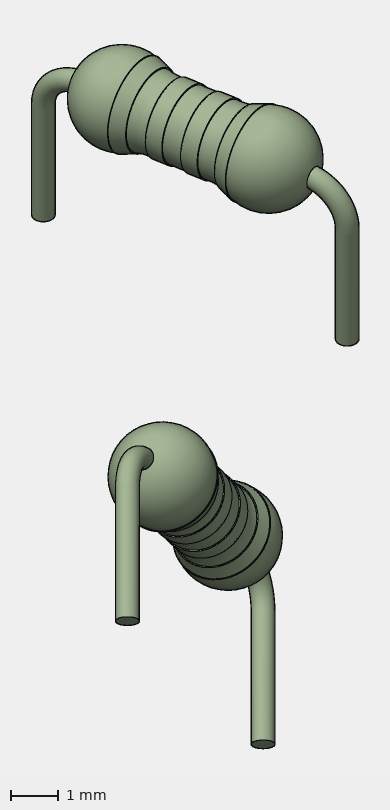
import cadquery as cq
import math

OVERALL_LENGTH = 8.12
OVERALL_HEIGHT = 5.14

BODY_LENGTH = 5.98
END_RADIUS = 2.3 / 2
BARREL_RADIUS = 0.9
FILLET_RADIUS = 1.235

GROOVE_RADIUS = 0.78
INNER_BAND_RADIUS = 1.86 / 2
INNER_BAND_START = 0.235
INNER_BAND_WIDTH = 0.415
OUTER_BAND_START = 1.11
OUTER_BAND_WIDTH = 0.365
OUTER_BAND_SMALL_RADIUS = 0.975
OUTER_BAND_LARGE_RADIUS = 1.11

WIRE_RADIUS = 0.25
BEND_RADIUS = 0.99

end_center_x = BODY_LENGTH / 2 - END_RADIUS
lead_x = OVERALL_LENGTH / 2 - WIRE_RADIUS
lead_bottom_z = END_RADIUS - OVERALL_HEIGHT


def make_solid_body():
    """Revolved dumbbell before the bore and the band grooves are cut."""
    fillet_center_z = BARREL_RADIUS + FILLET_RADIUS
    center_distance = END_RADIUS + FILLET_RADIUS
    fillet_center_x = end_center_x - math.sqrt(center_distance**2 - fillet_center_z**2)
    slope_angle = math.atan2(fillet_center_z, end_center_x - fillet_center_x)

    tangent_x = end_center_x - END_RADIUS * math.cos(slope_angle)
    tangent_z = END_RADIUS * math.sin(slope_angle)
    fillet_mid_angle = (slope_angle + math.pi / 2) / 2
    fillet_mid_x = fillet_center_x + FILLET_RADIUS * math.cos(fillet_mid_angle)
    fillet_mid_z = fillet_center_z - FILLET_RADIUS * math.sin(fillet_mid_angle)
    tip_x = BODY_LENGTH / 2

    profile = (
        cq.Workplane("XZ")
        .moveTo(-tip_x, 0)
        .threePointArc((-end_center_x, END_RADIUS), (-tangent_x, tangent_z))
        .threePointArc((-fillet_mid_x, fillet_mid_z), (-fillet_center_x, BARREL_RADIUS))
        .lineTo(fillet_center_x, BARREL_RADIUS)
        .threePointArc((fillet_mid_x, fillet_mid_z), (tangent_x, tangent_z))
        .threePointArc((end_center_x, END_RADIUS), (tip_x, 0))
        .close()
    )
    return profile.revolve(360, (0, 0, 0), (1, 0, 0))


def make_band(side, start, width, start_radius, end_radius):
    """Ring on one side (-1 or +1) of the middle, tapering from start_radius to end_radius."""
    near_x = side * start
    far_x = side * (start + width)
    profile = cq.Workplane("XZ").polyline(
        [
            (near_x, GROOVE_RADIUS),
            (near_x, start_radius),
            (far_x, end_radius),
            (far_x, GROOVE_RADIUS),
        ]
    )
    return profile.close().revolve(360, (0, 0, 0), (1, 0, 0))


def make_inner_band(side):
    """Cylindrical band on the barrel."""
    return make_band(side, INNER_BAND_START, INNER_BAND_WIDTH, INNER_BAND_RADIUS, INNER_BAND_RADIUS)


def make_outer_band(side):
    """Conical band on the flare between barrel and end sphere."""
    return make_band(
        side, OUTER_BAND_START, OUTER_BAND_WIDTH, OUTER_BAND_SMALL_RADIUS, OUTER_BAND_LARGE_RADIUS
    )


def make_wire():
    """Straight run through the body, bent down into a lead at each end."""
    bend_x = lead_x - BEND_RADIUS
    bend_mid_x = bend_x + BEND_RADIUS * math.sin(math.pi / 4)
    bend_mid_z = BEND_RADIUS * math.cos(math.pi / 4) - BEND_RADIUS
    path = (
        cq.Workplane("XZ")
        .moveTo(-lead_x, lead_bottom_z)
        .lineTo(-lead_x, -BEND_RADIUS)
        .threePointArc((-bend_mid_x, bend_mid_z), (-bend_x, 0))
        .lineTo(bend_x, 0)
        .threePointArc((bend_mid_x, bend_mid_z), (lead_x, -BEND_RADIUS))
        .lineTo(lead_x, lead_bottom_z)
    )
    section = cq.Workplane("XY", origin=(-lead_x, 0, lead_bottom_z)).circle(WIRE_RADIUS)
    return section.sweep(path)


wire = make_wire()
bands = []
for side in (-1, 1):
    bands.append(make_inner_band(side))
    bands.append(make_outer_band(side))

body = make_solid_body().cut(wire)
for band in bands:
    body = body.cut(band)

result = cq.Compound.makeCompound([body.val(), wire.val(), *[band.val() for band in bands]])